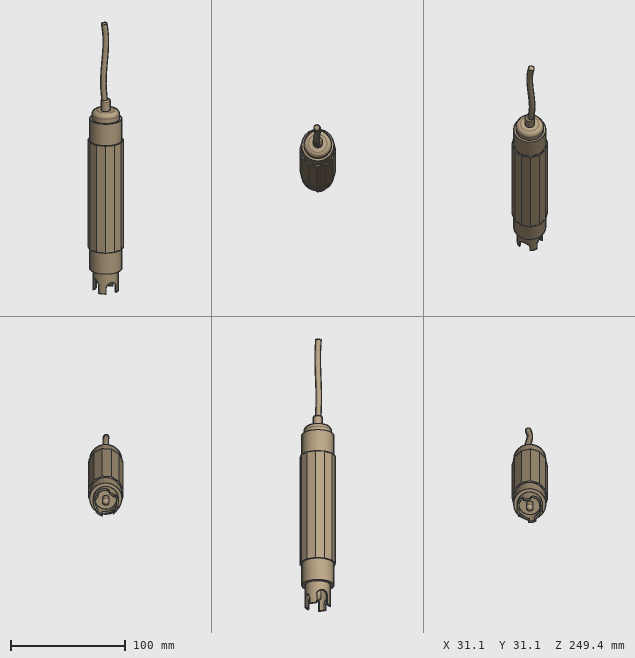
import cadquery as cq
import math

GUARD_TOP = 20.0
GRIP_BOTTOM = 40.0
GRIP_TOP = 140.0
COLLAR_TOP = 160.0
CAP_TOP = 168.0
STEM_TOP = 178.0

GRIP_SIDES = 12
GRIP_ACROSS_FLATS = 30.0
GRIP_ACROSS_CORNERS = GRIP_ACROSS_FLATS / math.cos(math.pi / GRIP_SIDES)
COLLAR_RADIUS = 14.0
CAP_RADIUS = 12.0
CAP_FILLET = 4.0
STEM_RADIUS = 4.0
STEM_FILLET = 1.5

GUARD_RADIUS = 11.0
GUARD_BORE_RADIUS = 9.5
SLOT_RADIUS = 5.0
SLOT_ALONG_Y_TOP = 12.25
SLOT_ALONG_X_TOP = 10.0

SENSOR_RADIUS = 3.0
SENSOR_DOME_CENTER = 9.0

CABLE_RADIUS = 2.5
CABLE_TOP = 249.41
CABLE_END_LEAN = math.radians(10.0)
CABLE_END_Y = -1.6
CABLE_LOW_BEND = (-2.3, 192.0)
CABLE_MIDDLE = (-1.15, 213.0)
CABLE_HIGH_BEND = (0.05, 234.5)


def cylinder(radius, bottom, top):
    return cq.Workplane("XY").workplane(offset=bottom).circle(radius).extrude(top - bottom)


def make_body():
    """Collar with the twelve-sided grip, the rounded cap and the cable stem."""
    grip = (
        cq.Workplane("XY")
        .workplane(offset=GRIP_BOTTOM)
        .polygon(GRIP_SIDES, GRIP_ACROSS_CORNERS)
        .extrude(GRIP_TOP - GRIP_BOTTOM)
    )
    collar = cylinder(COLLAR_RADIUS, GUARD_TOP, COLLAR_TOP)
    cap = cylinder(CAP_RADIUS, COLLAR_TOP, CAP_TOP).faces(">Z").edges().fillet(CAP_FILLET)
    stem = cylinder(STEM_RADIUS, CAP_TOP, STEM_TOP).faces(">Z").edges().fillet(STEM_FILLET)
    return collar.union(grip).union(cap).union(stem)


def arched_slot(plane, top):
    """Round-topped slot, open at the leg tips, cut right across the guard."""
    spring = top - SLOT_RADIUS
    return (
        cq.Workplane(plane)
        .moveTo(-SLOT_RADIUS, 0)
        .lineTo(-SLOT_RADIUS, spring)
        .threePointArc((0, top), (SLOT_RADIUS, spring))
        .lineTo(SLOT_RADIUS, 0)
        .close()
        .extrude(GUARD_RADIUS, both=True)
    )


def make_guard():
    guard = cylinder(GUARD_RADIUS, 0, GUARD_TOP).cut(cylinder(GUARD_BORE_RADIUS, 0, GUARD_TOP))
    guard = guard.cut(arched_slot("XZ", SLOT_ALONG_Y_TOP))
    return guard.cut(arched_slot("YZ", SLOT_ALONG_X_TOP))


def make_sensor():
    """Round-ended rod hanging from the floor of the guard bore."""
    half_chord = SENSOR_RADIUS * math.sqrt(0.5)
    dome_middle = (half_chord, SENSOR_DOME_CENTER - half_chord)
    return (
        cq.Workplane("XZ")
        .moveTo(0, SENSOR_DOME_CENTER - SENSOR_RADIUS)
        .threePointArc(dome_middle, (SENSOR_RADIUS, SENSOR_DOME_CENTER))
        .lineTo(SENSOR_RADIUS, GUARD_TOP)
        .lineTo(0, GUARD_TOP)
        .close()
        .revolve(360, (0, 0), (0, 1))
    )


def make_cable():
    """Round cord swept from inside the stem to a slightly leaning cut end."""
    start = (0, CAP_TOP)
    end = (CABLE_END_Y, CABLE_TOP - CABLE_RADIUS * math.sin(CABLE_END_LEAN))
    start_direction = (CABLE_LOW_BEND[0] - start[0], CABLE_LOW_BEND[1] - start[1])
    end_direction = (-math.sin(CABLE_END_LEAN), math.cos(CABLE_END_LEAN))
    path = cq.Workplane("YZ").spline(
        [start, CABLE_LOW_BEND, CABLE_MIDDLE, CABLE_HIGH_BEND, end],
        tangents=[start_direction, end_direction],
    )
    profile_plane = cq.Plane(origin=(0, *start), xDir=(1, 0, 0), normal=(0, *start_direction))
    return cq.Workplane(profile_plane).circle(CABLE_RADIUS).sweep(path)


result = make_body().union(make_guard()).union(make_sensor()).union(make_cable())